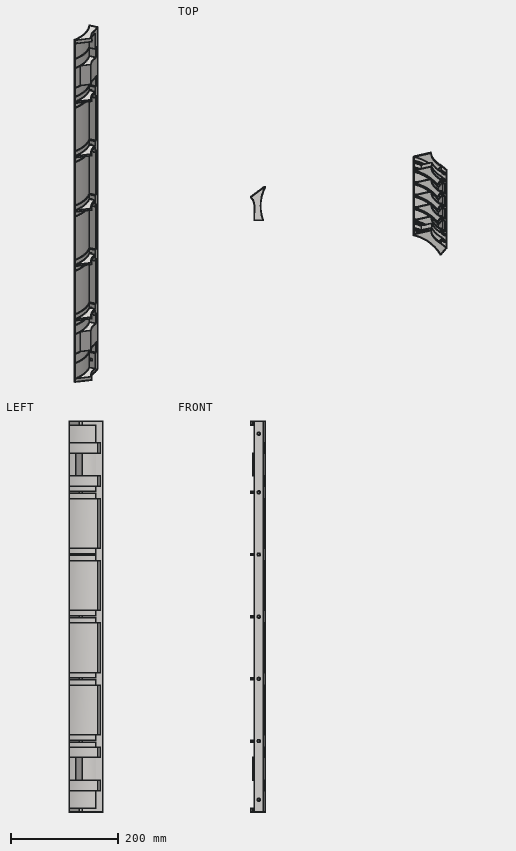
import cadquery as cq
import math

length = 730.0
depth = 63.0
width = 28.0

arc_radius = 77.5
shell_thickness = 2.0
thin_shell_thickness = 1.5
arc_center_y = 27.0
arc_center_x = width + math.sqrt(arc_radius**2 - (depth - arc_center_y) ** 2)
inner_radius = arc_radius + shell_thickness

strip_left = 6.5
strip_depth = 9.5
step_start = 4.5
step_height = 0.4
pad_depth = 13.0

rib_count = 5
rib_spacing = 116.0
rib_thickness = 4.0
end_rib_thickness = 7.0
pad_length = 23.0
end_pad_length = 40.0
block_offset = 60.0
block_length = 42.0

rib_tip_y = 44.0
underside_end = (4.5, 38.0)
underside_middle = (7.0, 25.0)
block_top_y = 50.5

hole_diameter = 5.0
hole_depth = 11.0
hole_x = 15.0
end_hole_offset = 23.0

rib_centers = [length / 2 + (i - (rib_count - 1) / 2) * rib_spacing for i in range(rib_count)]


def inner_face_x(y):
    """X of the thick shell's inner face at depth y."""
    return arc_center_x - math.sqrt(inner_radius**2 - (y - arc_center_y) ** 2)


def bar(left, y_start, y_end, z_start, z_length):
    """Rectangular bar that reaches from `left` to the part's right side."""
    size = (width - left, y_end - y_start, z_length)
    return cq.Workplane("XY").box(*size, centered=False).translate((left, y_start, z_start))


def cylinder(radius):
    """Full-length cylinder about the shell's axis."""
    return cq.Workplane("XY").center(arc_center_x, arc_center_y).circle(radius).extrude(length)


def web(upper_points, z_start, thickness):
    """Web with a hollow underside; `upper_points` run from the underside's end to the shell."""
    return (
        cq.Workplane("XY", origin=(0, 0, z_start))
        .moveTo(strip_left, pad_depth)
        .threePointArc(underside_middle, underside_end)
        .polyline(upper_points, includeCurrent=True)
        .lineTo(width, upper_points[-1][1])
        .lineTo(width, pad_depth)
        .close()
        .extrude(thickness)
    )


def rib(z_start, thickness):
    """Pointed web that runs to the back edge of the shell."""
    return web([(0, rib_tip_y), (inner_face_x(depth), depth)], z_start, thickness)


def block(z_start):
    """Long web with a blunter nose that meets the shell short of its back edge."""
    return web([(inner_face_x(block_top_y), block_top_y)], z_start, block_length)


def pad(z_start, z_length):
    """Deeper strip and thicker shell over one stretch of the length."""
    thick_shell = cylinder(inner_radius).intersect(bar(0, 0, depth, z_start, z_length))
    return thick_shell.union(bar(strip_left, 0, pad_depth, z_start, z_length))


body = cylinder(arc_radius + thin_shell_thickness).intersect(bar(0, 0, depth, 0, length))
body = body.union(bar(strip_left, 0, step_start, 0, length))
body = body.union(bar(strip_left + step_height, 0, strip_depth, 0, length))

for center in rib_centers:
    body = body.union(pad(center - pad_length / 2, pad_length))
    body = body.union(rib(center - rib_thickness / 2, rib_thickness))

for z_start in (0, length - end_rib_thickness):
    body = body.union(rib(z_start, end_rib_thickness))
for z_start in (0, length - end_pad_length):
    body = body.union(pad(z_start, end_pad_length))
for z_start in (block_offset, length - block_offset - block_length):
    body = body.union(pad(z_start, block_length))
    body = body.union(block(z_start))

body = body.cut(cylinder(arc_radius))

for z in [end_hole_offset, *rib_centers, length - end_hole_offset]:
    hole = cq.Workplane("XZ", origin=(hole_x, 0, z)).circle(hole_diameter / 2).extrude(-hole_depth)
    body = body.cut(hole)

result = body